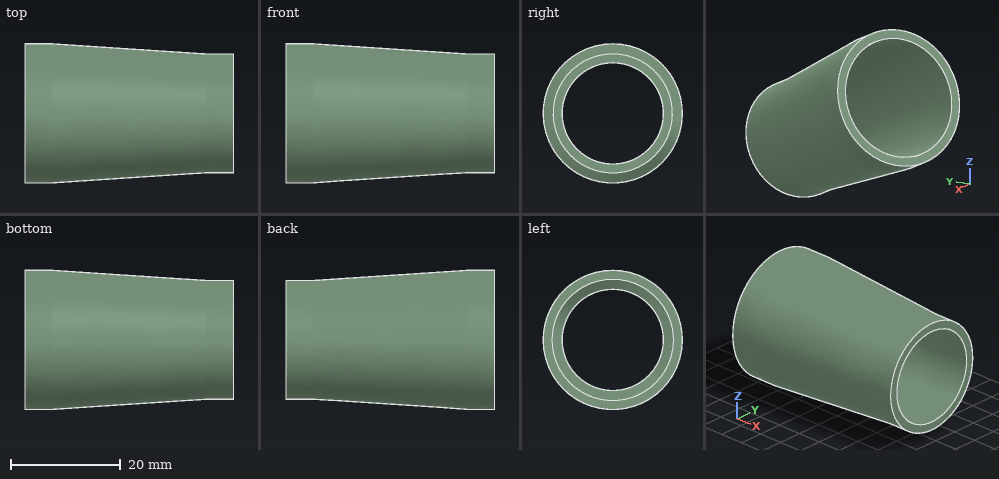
import cadquery as cq

LENGTH = 38.0
END_LENGTH = 5.0
LARGE_OUTER_DIAMETER = 25.4
SMALL_OUTER_DIAMETER = 21.7
WALL = 1.65


def reducer_solid(large_radius, small_radius):
    """Return a solid of revolution about X with the given end radii."""
    taper_end = LENGTH - END_LENGTH
    return (
        cq.Workplane("XZ")
        .moveTo(0, 0)
        .lineTo(0, large_radius)
        .lineTo(END_LENGTH, large_radius)
        .lineTo(taper_end, small_radius)
        .lineTo(LENGTH, small_radius)
        .lineTo(LENGTH, 0)
        .close()
        .revolve(360, (0, 0, 0), (1, 0, 0))
    )


large_outer_radius = LARGE_OUTER_DIAMETER / 2
small_outer_radius = SMALL_OUTER_DIAMETER / 2

body = reducer_solid(large_outer_radius, small_outer_radius)
bore = reducer_solid(large_outer_radius - WALL, small_outer_radius - WALL)

result = body.cut(bore)